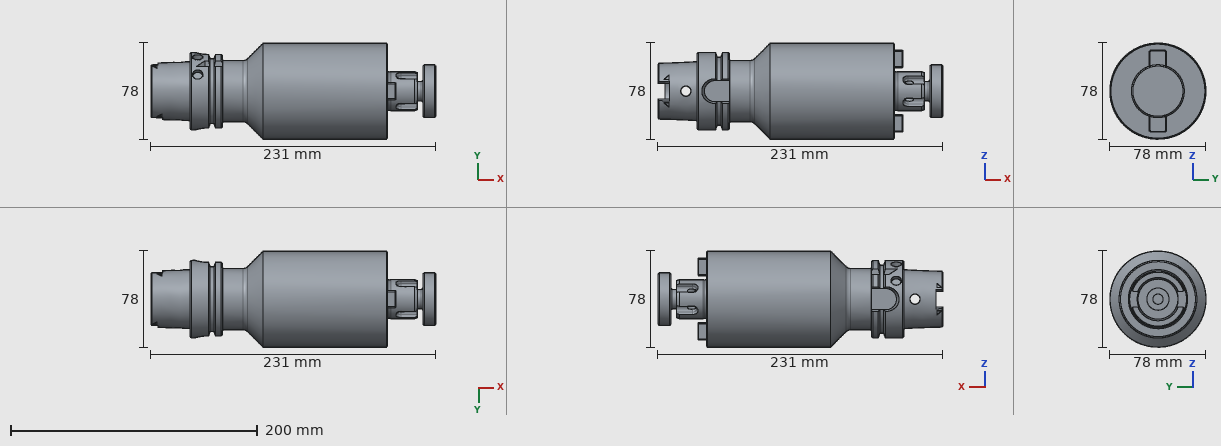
import cadquery as cq
import math


quarter_arc_bend = 1 - math.sqrt(0.5)

shank_length = 31.6
flange_end = 58.0
cone_start = 77.0
cone_angle = 45.0
body_end = 191.7
arbor_length = 24.3
arbor_end = body_end + arbor_length
total_length = 231.0

shank_tip_radius = 45.5 / 2
shank_root_radius = 48.0 / 2
shank_tip_chamfer = 1.0

flange_radius = 63.0 / 2
flange_chamfer = 1.2
groove_floor_radius = 27.7
groove_start = 46.7
groove_end = 52.5
groove_flank = 1.5

neck_radius = 25.0
neck_root_fillet = 1.0
body_radius = 39.0
cone_fillet = 5.0
body_chamfer = 1.0
cone_end = cone_start + (body_radius - neck_radius) / math.tan(math.radians(cone_angle))

arbor_radius = 31.9 / 2
arbor_chamfer_length = 2.3
arbor_chamfer_height = 1.0
undercut_width = 2.8
undercut_taper = 1.0
undercut_depth = 0.2

bore_mouth_radius = 17.5
bore_radius = 16.2
bore_taper_length = 11.5
bore_depth = shank_length

tip_slot_width = 12.5
front_slot_depth = 9.5
back_slot_depth = 5.5
slot_edge_fillet = 3.0
relief_end_gap = 0.7
relief_length = 4.0
relief_inner_reach = 1.8
relief_tip_reach = 2.0
relief_angle = 29.0
relief_floor_radius = 22.5
cross_hole_x = 22.6
cross_hole_diameter = 8.0

recess_x = 46.2
recess_floor_half_width = 8.5
recess_floor_distance = 26.3
recess_wall_angle = 22.0

flange_hole_x = 37.9
flange_hole_diameter = 8.3
flange_hole_depth = 4.6
flange_hole_angles = (25.5, 61.5)
notch_offset = 19.9
notch_floor_start = 44.0
notch_ramp_length = 7.5
notch_ramp_height = 4.9

coolant_groove_start = body_end + 7.0
coolant_groove_angle = 54.0
coolant_wall_angle = 22.0
coolant_floor_radius = 3.5
coolant_floor_centre = 14.5
coolant_wall_top = 16.6
coolant_hole_diameter = 3.5
coolant_hole_x = 204.0
coolant_hole_height = 11.5
coolant_hole_slant = 25.0
coolant_hole_depth = 4.6
coolant_hole_reach = 3.5

key_width = 14.0
key_inner_edge = 19.0
key_outer_edge = 33.3
key_protrusion = 7.0
key_seat_depth = 6.0
key_side_chamfer = 1.2
key_end_chamfer = 0.7

screw_radius = 16.0 / 2
screw_depth = arbor_length
screw_head_radius = 43.0 / 2
screw_head_length = 10.6
screw_head_chamfer = 1.2
screw_neck_fillet = 1.5
screw_head_start = total_length - screw_head_length

plug_radius = 9.0
plug_hole_radius = 4.2
plug_length = 9.2


def revolve_about_x(profile):
    """Revolve a closed (x, radius) profile about the X axis."""
    return profile.close().revolve(360, (0, 0, 0), (1, 0, 0))


def cylinder_along_x(start, end, radius):
    return cq.Workplane("YZ", origin=(start, 0, 0)).circle(radius).extrude(end - start)


def make_shank_and_flange():
    profile = (
        cq.Workplane("XY")
        .moveTo(0, 0)
        .lineTo(0, shank_tip_radius - shank_tip_chamfer)
        .lineTo(shank_tip_chamfer, shank_tip_radius)
        .lineTo(shank_length, shank_root_radius)
        .lineTo(shank_length, flange_radius - flange_chamfer)
        .lineTo(shank_length + flange_chamfer, flange_radius)
        .lineTo(groove_start, flange_radius)
        .lineTo(groove_start + groove_flank, groove_floor_radius)
        .lineTo(groove_end - groove_flank, groove_floor_radius)
        .lineTo(groove_end, flange_radius)
        .lineTo(flange_end - flange_chamfer, flange_radius)
        .lineTo(flange_end, flange_radius - flange_chamfer)
        .lineTo(flange_end, 0)
    )
    return revolve_about_x(profile)


def make_bore():
    profile = (
        cq.Workplane("XY")
        .moveTo(0, 0)
        .lineTo(0, bore_mouth_radius)
        .lineTo(bore_taper_length, bore_radius)
        .lineTo(bore_depth, bore_radius)
        .lineTo(bore_depth, 0)
    )
    return revolve_about_x(profile)


def make_tip_slot(side, depth):
    """Slot across one wall of the shank tip, with its long outer edges rounded over."""
    half_width = tip_slot_width / 2
    rounding_y = math.sqrt(shank_tip_radius**2 - half_width**2)
    inner_y = rounding_y - slot_edge_fillet
    outer_y = shank_root_radius + slot_edge_fillet
    mouth_half_width = half_width + slot_edge_fillet
    bend = slot_edge_fillet * quarter_arc_bend
    return (
        cq.Workplane("YZ")
        .moveTo(0, -half_width)
        .lineTo(side * inner_y, -half_width)
        .threePointArc(
            (side * (rounding_y - bend), -half_width - bend), (side * rounding_y, -mouth_half_width)
        )
        .lineTo(side * outer_y, -mouth_half_width)
        .lineTo(side * outer_y, mouth_half_width)
        .lineTo(side * rounding_y, mouth_half_width)
        .threePointArc((side * (rounding_y - bend), half_width + bend), (side * inner_y, half_width))
        .lineTo(0, half_width)
        .close()
        .extrude(depth)
    )


def make_slot_relief(side, depth):
    """Pair of shallow triangular reliefs where the rounded slot edges run out at the slot bottom."""
    relief_end = depth - relief_end_gap
    upper = (
        cq.Workplane("XZ", origin=(0, side * relief_floor_radius, 0))
        .moveTo(relief_end, relief_tip_reach)
        .lineTo(relief_end - relief_length, -relief_inner_reach)
        .lineTo(relief_end, -relief_inner_reach)
        .close()
        .extrude(-side * (shank_root_radius - relief_floor_radius))
        .rotate((0, 0, 0), (1, 0, 0), side * relief_angle)
    )
    return upper.union(upper.mirror("XY"))


def make_cross_hole():
    length = 2 * flange_radius
    return (
        cq.Workplane("XZ", origin=(cross_hole_x, length / 2, 0))
        .circle(cross_hole_diameter / 2)
        .extrude(length)
    )


def make_flange_recess(side):
    """Round-ended recess open towards +X, with a flat floor and walls that lean outwards."""
    height = flange_radius - recess_floor_distance
    floor = cq.Plane(origin=(recess_x, side * recess_floor_distance, 0), xDir=(1, 0, 0), normal=(0, side, 0))
    straight_length = flange_end - recess_x
    return (
        cq.Workplane(floor)
        .moveTo(straight_length, recess_floor_half_width)
        .lineTo(0, recess_floor_half_width)
        .threePointArc((-recess_floor_half_width, 0), (0, -recess_floor_half_width))
        .lineTo(straight_length, -recess_floor_half_width)
        .close()
        .extrude(height, taper=-recess_wall_angle)
        .intersect(cylinder_along_x(shank_length, flange_end, flange_radius))
    )


def make_flange_hole(angle):
    """Radial blind hole, its angle measured from +Z towards +Y."""
    return (
        cq.Workplane("XY", origin=(flange_hole_x, 0, flange_radius - flange_hole_depth))
        .circle(flange_hole_diameter / 2)
        .extrude(2 * flange_hole_depth)
        .rotate((0, 0, 0), (1, 0, 0), -angle)
    )


def make_notch():
    """Orientation notch with an upright wall and a flat floor that ramps out of the flange."""
    clearance = 2 * notch_ramp_height
    slope = notch_ramp_length / notch_ramp_height
    return (
        cq.Workplane("XZ", origin=(0, flange_radius, 0))
        .moveTo(flange_end, notch_offset)
        .lineTo(notch_floor_start, notch_offset)
        .lineTo(notch_floor_start - clearance * slope, notch_offset + clearance)
        .lineTo(flange_end, notch_offset + clearance)
        .close()
        .extrude(flange_radius - notch_offset)
    )


def make_neck_and_body():
    slope = math.radians(cone_angle)
    fillet_reach = cone_fillet * math.tan(slope / 2)
    fillet_bend = cone_fillet * math.sin(slope / 2)
    fillet_rise = cone_fillet * (1 - math.cos(slope / 2))
    root_bend = neck_root_fillet * quarter_arc_bend
    profile = (
        cq.Workplane("XY")
        .moveTo(flange_end, 0)
        .lineTo(flange_end, neck_radius + neck_root_fillet)
        .threePointArc(
            (flange_end + root_bend, neck_radius + root_bend),
            (flange_end + neck_root_fillet, neck_radius),
        )
        .lineTo(cone_start - fillet_reach, neck_radius)
        .threePointArc(
            (cone_start - fillet_reach + fillet_bend, neck_radius + fillet_rise),
            (cone_start + fillet_reach * math.cos(slope), neck_radius + fillet_reach * math.sin(slope)),
        )
        .lineTo(cone_end, body_radius)
        .lineTo(body_end - body_chamfer, body_radius)
        .lineTo(body_end, body_radius - body_chamfer)
        .lineTo(body_end, 0)
    )
    return revolve_about_x(profile)


def make_arbor():
    undercut_end = body_end + undercut_width
    undercut_radius = arbor_radius - undercut_depth
    profile = (
        cq.Workplane("XY")
        .moveTo(body_end, 0)
        .lineTo(body_end, arbor_radius)
        .lineTo(body_end + undercut_taper, undercut_radius)
        .lineTo(undercut_end - undercut_taper, undercut_radius)
        .lineTo(undercut_end, arbor_radius)
        .lineTo(arbor_end - arbor_chamfer_length, arbor_radius)
        .lineTo(arbor_end, arbor_radius - arbor_chamfer_height)
        .lineTo(arbor_end, 0)
    )
    return revolve_about_x(profile)


def coolant_half_profile(workplane):
    """Half of the groove section: axis, round floor, slanting wall and open top."""
    wall = math.radians(coolant_wall_angle)
    floor_bend = (math.pi / 2 - wall) / 2
    tangent_width = coolant_floor_radius * math.cos(wall)
    tangent_height = coolant_floor_centre - coolant_floor_radius * math.sin(wall)
    top_half_width = tangent_width + (coolant_wall_top - tangent_height) * math.tan(wall)
    return (
        workplane.moveTo(0, coolant_wall_top)
        .lineTo(0, coolant_floor_centre - coolant_floor_radius)
        .threePointArc(
            (
                coolant_floor_radius * math.sin(floor_bend),
                coolant_floor_centre - coolant_floor_radius * math.cos(floor_bend),
            ),
            (tangent_width, tangent_height),
        )
        .lineTo(top_half_width, coolant_wall_top)
        .close()
    )


def make_coolant_groove():
    """Tapered groove with a rounded end and its feed hole, in the upper -Y quarter of the arbor."""
    wall = math.radians(coolant_wall_angle)
    rim_height = math.sqrt(arbor_radius**2 - coolant_floor_radius**2)
    tangent_height = coolant_floor_centre - coolant_floor_radius * math.sin(wall)
    end_radius = coolant_floor_radius * math.cos(wall) + (rim_height - tangent_height) * math.tan(wall)
    end_x = coolant_groove_start + end_radius
    rounded_end = (
        coolant_half_profile(cq.Workplane("XZ"))
        .revolve(360, (0, 0, 0), (0, 1, 0))
        .translate((end_x, 0, 0))
    )
    half_run = coolant_half_profile(cq.Workplane("YZ", origin=(end_x, 0, 0))).extrude(arbor_end - end_x)
    feed_hole = (
        cq.Workplane("YZ", origin=(-coolant_hole_depth, 0, 0))
        .circle(coolant_hole_diameter / 2)
        .extrude(coolant_hole_depth + coolant_hole_reach)
        .rotate((0, 0, 0), (0, 1, 0), -coolant_hole_slant)
        .translate((coolant_hole_x, 0, coolant_hole_height))
    )
    return (
        rounded_end.union(half_run)
        .union(half_run.mirror("XZ"))
        .union(feed_hole)
        .rotate((0, 0, 0), (1, 0, 0), coolant_groove_angle)
    )


def make_key(side):
    length = key_seat_depth + key_protrusion
    return (
        cq.Workplane("XY")
        .box(length, key_width, key_outer_edge - key_inner_edge)
        .edges("|X")
        .chamfer(key_side_chamfer)
        .faces(">X")
        .chamfer(key_end_chamfer)
        .translate(
            (
                body_end + (key_protrusion - key_seat_depth) / 2,
                0,
                side * (key_inner_edge + key_outer_edge) / 2,
            )
        )
    )


def make_screw():
    bend = screw_neck_fillet * quarter_arc_bend
    profile = (
        cq.Workplane("XY")
        .moveTo(arbor_end - screw_depth, 0)
        .lineTo(arbor_end - screw_depth, screw_radius)
        .lineTo(screw_head_start - screw_neck_fillet, screw_radius)
        .threePointArc(
            (screw_head_start - bend, screw_radius + bend),
            (screw_head_start, screw_radius + screw_neck_fillet),
        )
        .lineTo(screw_head_start, screw_head_radius - screw_head_chamfer)
        .lineTo(screw_head_start + screw_head_chamfer, screw_head_radius)
        .lineTo(total_length - screw_head_chamfer, screw_head_radius)
        .lineTo(total_length, screw_head_radius - screw_head_chamfer)
        .lineTo(total_length, 0)
    )
    return revolve_about_x(profile)


def make_plug():
    plug_end = bore_depth + plug_length
    return cylinder_along_x(bore_depth, plug_end, plug_radius).cut(
        cylinder_along_x(bore_depth, plug_end, plug_hole_radius)
    )


def make_holder():
    holder = make_shank_and_flange()
    holder = holder.cut(make_bore())
    for side, depth in ((-1, front_slot_depth), (1, back_slot_depth)):
        holder = holder.cut(make_tip_slot(side, depth))
        holder = holder.cut(make_slot_relief(side, depth))
    holder = holder.cut(make_cross_hole())
    for side in (-1, 1):
        holder = holder.cut(make_flange_recess(side))
    for angle in flange_hole_angles:
        holder = holder.cut(make_flange_hole(angle))
    holder = holder.cut(make_notch())
    holder = holder.union(make_neck_and_body())

    arbor = make_arbor()
    groove = make_coolant_groove()
    mirrored_groove = groove.mirror("XZ")
    for cutter in (groove, groove.mirror("XY"), mirrored_groove, mirrored_groove.mirror("XY")):
        arbor = arbor.cut(cutter)
    holder = holder.union(arbor)

    for side in (-1, 1):
        holder = holder.cut(make_key(side))
    holder = holder.cut(cylinder_along_x(arbor_end - screw_depth, arbor_end, screw_radius))
    return holder.cut(cylinder_along_x(bore_depth, bore_depth + plug_length, plug_radius))


holder = make_holder()
drive_keys = [make_key(side) for side in (-1, 1)]
retaining_screw = make_screw()
coolant_plug = make_plug()

result = cq.Compound.makeCompound(
    [
        holder.val(),
        *[key.val() for key in drive_keys],
        retaining_screw.val(),
        coolant_plug.val(),
    ]
)